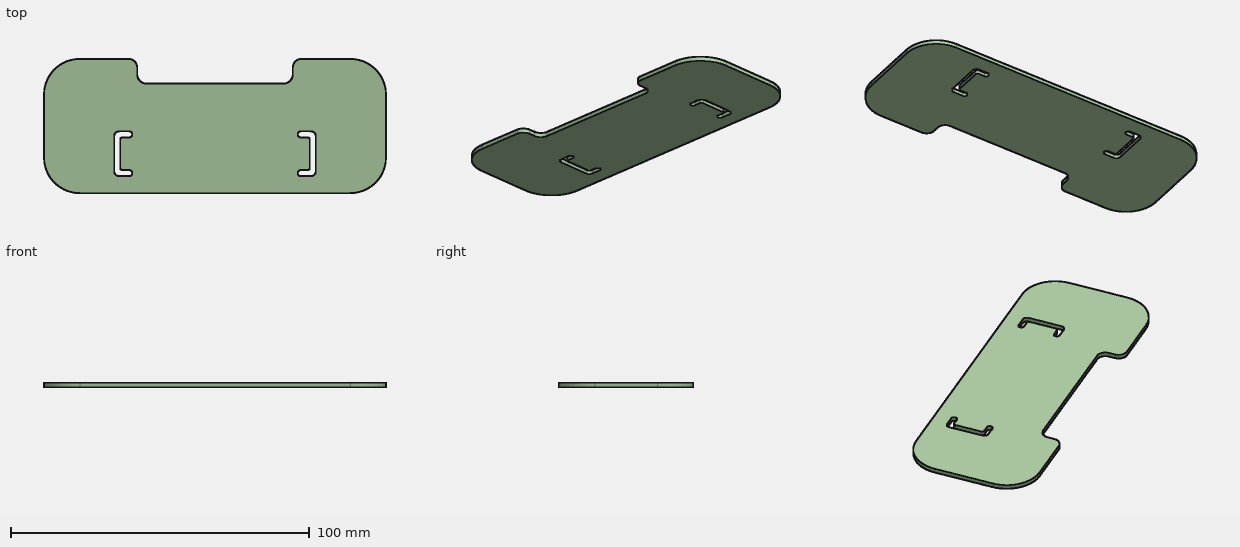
import cadquery as cq

length = 114.5
width = 45.0
thickness = 1.6
corner_radius = 12.0

notch_width = 52.0
notch_depth = 8.2
notch_radius = 3.0
margin = 1.1

slot_back_x = 33.7
slot_reach = 6.0
slot_height = 14.9
slot_center_y = -9.3
slot_width = 2.0
slot_outer_radius = 1.5
slot_inner_radius = 0.7
slot_tip_radius = 0.9


def make_plate():
    plate = cq.Workplane("XY").rect(length, width).extrude(thickness)
    plate = plate.edges("|Z").fillet(corner_radius)
    notch = (
        cq.Workplane("XY")
        .center(0, width / 2)
        .rect(notch_width, 2 * notch_depth)
        .extrude(thickness)
    )
    plate = plate.cut(notch)
    half_notch = notch_width / 2
    notch_middle_y = width / 2 - notch_depth / 2
    notch_corners = cq.selectors.BoxSelector(
        (-half_notch - margin, notch_middle_y - notch_depth, -margin),
        (half_notch + margin, notch_middle_y + notch_depth, thickness + margin),
    )
    return plate.edges("|Z").edges(notch_corners).fillet(notch_radius)


def make_left_slot():
    back = cq.Workplane("XY").box(slot_reach, slot_height, thickness, centered=(False, True, False))
    back = back.edges("|Z and <X").fillet(slot_outer_radius)
    tongue = (
        cq.Workplane("XY")
        .box(slot_reach, slot_height - 2 * slot_width, thickness, centered=(False, True, False))
        .edges("|Z and <X")
        .fillet(slot_inner_radius)
        .translate((slot_width, 0, 0))
    )
    slot = back.cut(tongue).edges("|Z and >X").fillet(slot_tip_radius)
    return slot.translate((-slot_back_x, slot_center_y, 0))


left_slot = make_left_slot()
right_slot = left_slot.mirror("YZ")
result = make_plate().cut(left_slot).cut(right_slot)